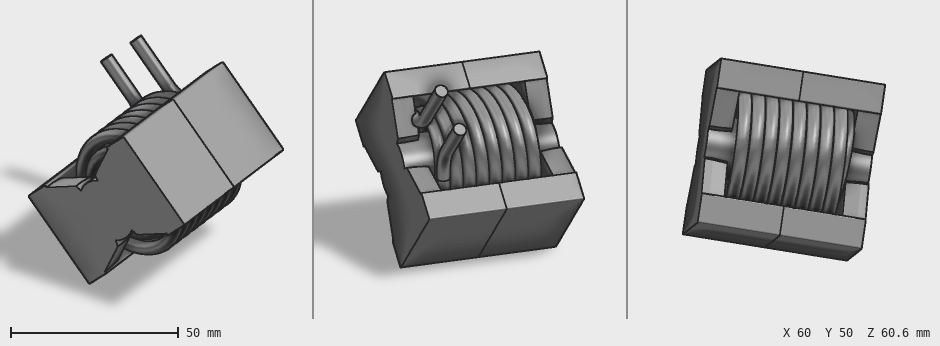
import cadquery as cq
import math

core_width = 50.0
core_thickness = 32.0
core_length = 50.0
plate_thickness = 7.0
post_radius = 10.0
window_radius = 22.2
leg_edge_radius = 0.4

notch_corner_x = 5.0
notch_corner_y = 11.0
notch_slope = 0.39
notch_floor_y = 6.05
notch_half_width = 18.2
notch_straight_depth = 2.5
notch_draft = 5.0

wire_radius = 2.0
coil_offset = 1.9
inner_coil_radius = 14.0
outer_coil_radius = 18.25
coil_pitch = 4.2
turns = 8
inner_start_depth = -17.6
outer_start_depth = -15.45
inner_start_angle = 45.0
outer_start_angle = 135.0
crossover_half_angle = 48.0
crossover_depth = 15.95
recess_turns = 0.4
inner_lead_x = 7.05
outer_lead_x = -6.2
lead_tip_y = 35.95
lead_bend_radius = 10.0
lead_bend_angle = 45.0

half_length = core_length / 2
window_depth = half_length - plate_thickness
inner_turns = turns - (crossover_half_angle - inner_start_angle) / 360
outer_turns = turns - (crossover_half_angle + outer_start_angle) / 360

frame = cq.Plane(origin=(0, 0, 0), xDir=(1, 0, 1), normal=(0, -1, 0))


def at_depth(depth):
    return cq.Workplane(frame).workplane(offset=depth)


def notch_outline(depth):
    """One opening, symmetric about the local y axis and running out past the core."""
    floor_x = notch_corner_x - notch_slope * (notch_corner_y - notch_floor_y)
    end_y = notch_corner_y + notch_slope * (notch_half_width - notch_corner_x)
    right_side = [
        (floor_x, notch_floor_y),
        (notch_corner_x, notch_corner_y),
        (notch_half_width, end_y),
        (notch_half_width, core_thickness),
    ]
    left_side = [(-x, y) for x, y in reversed(right_side)]
    return at_depth(depth).polyline(right_side + left_side).close()


def notch():
    draft_start = half_length - notch_straight_depth
    straight_part = notch_outline(draft_start).extrude(notch_straight_depth)
    drafted_part = notch_outline(draft_start).extrude(window_depth - draft_start, taper=-notch_draft)
    return straight_part.union(drafted_part)


def legs():
    block = at_depth(0).rect(core_width, core_thickness).extrude(half_length)
    window = at_depth(0).circle(window_radius).extrude(half_length)
    return block.cut(window).edges("|Y").fillet(leg_edge_radius)


def core_half():
    """The front half, from the middle of the core to its front end plate."""
    opening = notch()
    opposite_opening = opening.rotate((0, 0, 0), (0, 1, 0), 180)
    plate = at_depth(window_depth).circle(window_radius + leg_edge_radius).extrude(plate_thickness)
    plate = plate.intersect(at_depth(0).rect(core_width, core_thickness).extrude(half_length))
    post = at_depth(0).circle(post_radius).extrude(half_length)
    return plate.cut(opening).cut(opposite_opening).union(legs()).union(post)


def coil_point(radius, angle):
    """Point of the coil in the local x-y plane."""
    x = coil_offset + radius * math.cos(math.radians(angle))
    y = radius * math.sin(math.radians(angle))
    return x, y


def layer_path(radius, start_angle, start_depth, layer_turns, clockwise):
    """Helix of one layer, running toward the front end."""
    helix = cq.Wire.makeHelix(coil_pitch, coil_pitch * layer_turns, radius, lefthand=clockwise)
    helix = helix.rotate(cq.Vector(0, 0, 0), cq.Vector(0, 0, 1), start_angle)
    helix = helix.translate(cq.Vector(coil_offset, 0, start_depth))
    return helix.moved(cq.Location(frame))


def inner_layer_path(layer_turns):
    return layer_path(inner_coil_radius, inner_start_angle, inner_start_depth, layer_turns, True)


def outer_layer_path():
    return layer_path(outer_coil_radius, outer_start_angle, outer_start_depth, outer_turns, False)


def crossover_path(inner, outer):
    """Smooth curve from the front end of the inner layer to that of the outer layer."""
    mid_x, mid_y = coil_point((inner_coil_radius + outer_coil_radius) / 2, 0)
    mid_point = frame.toWorldCoords((mid_x, mid_y, crossover_depth))
    return cq.Edge.makeSpline(
        [inner.endPoint(), mid_point, outer.endPoint()],
        tangents=[inner.tangentAt(1), -outer.tangentAt(1)],
    )


def wire_along(path):
    """Round wire swept along a path, square to the path at its start."""
    direction = path.tangentAt(0)
    start = cq.Plane(origin=path.startPoint(), xDir=direction.cross(cq.Vector(0, 1, 0)), normal=direction)
    return cq.Workplane(start).circle(wire_radius).sweep(path)


def winding():
    """Inner layer, crossover and outer layer as one continuous wire."""
    inner = inner_layer_path(inner_turns)
    outer = outer_layer_path()
    crossover = crossover_path(inner, outer)
    return wire_along(cq.Wire.assembleEdges([*inner.Edges(), crossover, *outer.Edges()]))


def lead(lead_x, coil_path):
    """Straight pin, bend and short end that runs into the start of a coil layer along its tangent."""
    coil_start = frame.toLocalCoords(coil_path.startPoint())
    side = math.copysign(1, coil_start.x - lead_x)
    bend_angle = math.radians(lead_bend_angle)
    crossing_y = coil_start.y + abs(coil_start.x - lead_x) / math.tan(bend_angle)
    tangent_length = lead_bend_radius * math.tan(bend_angle / 2)
    bend_start = (lead_x, crossing_y + tangent_length)
    bend_end = (
        lead_x + side * tangent_length * math.sin(bend_angle),
        crossing_y - tangent_length * math.cos(bend_angle),
    )
    pin_and_bend = (
        at_depth(coil_start.z)
        .moveTo(lead_x, lead_tip_y)
        .lineTo(*bend_start)
        .tangentArcPoint(bend_end, relative=False)
        .wire()
        .val()
    )
    short_end = cq.Edge.makeSpline(
        [pin_and_bend.endPoint(), coil_path.startPoint()],
        tangents=[pin_and_bend.tangentAt(1), coil_path.tangentAt(0)],
    )
    return wire_along(cq.Wire.assembleEdges([*pin_and_bend.Edges(), short_end]))


winding_body = winding()
inner_lead = lead(inner_lead_x, inner_layer_path(inner_turns))
outer_lead = lead(outer_lead_x, outer_layer_path())
front_core = core_half()
wire_recess = wire_along(inner_layer_path(recess_turns))
rear_core = front_core.mirror("XZ").cut(inner_lead).cut(wire_recess)

result = cq.Compound.makeCompound([
    front_core.val(),
    rear_core.val(),
    winding_body.val(),
    inner_lead.val(),
    outer_lead.val(),
])